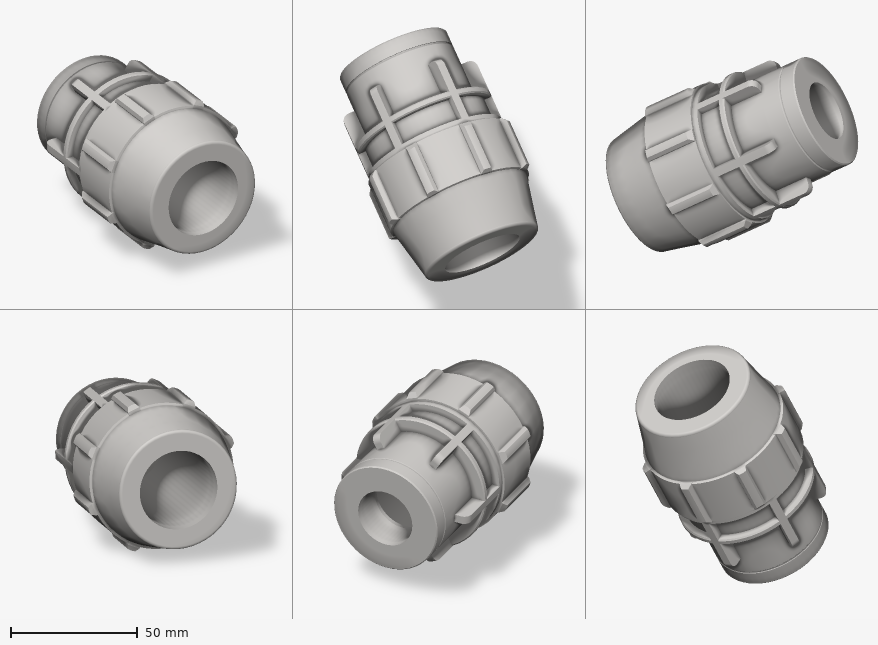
import cadquery as cq
import math

total_length = 89.0

body_radius = 46.1 / 2
body_chamfer = 0.5
body_chamfer_depth = 0.45
groove_start = 6.4
groove_floor_length = 0.5
groove_ramp_length = 0.45
groove_depth = 0.45

flange_radius = 57.6 / 2
flange_start = 29.55
flange_width = 2.7
flange_chamfer = 0.5
neck_radius = 25.6
collar_start = 42.0

body_rib_count = 6
body_rib_start = 15.2
body_rib_width = 3.4
body_rib_round = 3.1

cap_start = 44.5
cap_radius = 29.8
cap_end = 66.4
cone_start = 66.75
cone_start_radius = 28.75
cone_end_radius = 24.4
end_round = 1.25

grip_count = 8
grip_crown_radius = 32.1
grip_corner_radius = 31.95
grip_top_width = 3.3
grip_shoulder_radius = 30.3
grip_base_width = 5.2
grip_front_slope = 2.0
grip_back_slope = 1.0

inlet_radius = 24.1 / 2
middle_radius = 25.6 / 2
socket_radius = 32.0 / 2
inlet_depth = 14.2
socket_start = 16.9


def turn(profile):
    """Close an (x, radius) outline and turn it around the X axis, with the seam underneath."""
    turned = profile.close().revolve(360, (0, 0, 0), (1, 0, 0))
    return turned.rotate((0, 0, 0), (1, 0, 0), 180)


def copies_around_x(part, count, first_angle=0.0):
    """Evenly spaced copies of a part around the X axis."""
    pitch = 360 / count
    return [part.rotate((0, 0, 0), (1, 0, 0), first_angle + index * pitch) for index in range(count)]


def make_blank():
    """Body and cap, with the zone of the body ribs, flange and collar still solid all round."""
    groove_floor_end = groove_start + groove_floor_length
    groove_radius = body_radius - groove_depth
    rib_arc_offset = body_rib_round * (1 - math.sqrt(0.5))
    cone_end = total_length - end_round
    end_arc_offset = end_round * (1 - math.sqrt(0.5))
    profile = (
        cq.Workplane("XZ")
        .lineTo(0, body_radius - body_chamfer_depth)
        .lineTo(body_chamfer, body_radius)
        .lineTo(groove_start, body_radius)
        .lineTo(groove_start, groove_radius)
        .lineTo(groove_floor_end, groove_radius)
        .lineTo(groove_floor_end + groove_ramp_length, body_radius)
        .lineTo(body_rib_start, body_radius)
        .lineTo(body_rib_start, flange_radius - body_rib_round)
        .threePointArc(
            (body_rib_start + rib_arc_offset, flange_radius - rib_arc_offset),
            (body_rib_start + body_rib_round, flange_radius),
        )
        .lineTo(cap_start, flange_radius)
        .lineTo(cap_start, cap_radius)
        .lineTo(cap_end, cap_radius)
        .lineTo(cone_start, cone_start_radius)
        .lineTo(cone_end, cone_end_radius)
        .threePointArc(
            (total_length - end_arc_offset, cone_end_radius - end_arc_offset),
            (total_length, cone_end_radius - end_round),
        )
        .lineTo(total_length, 0)
    )
    return turn(profile)


def make_rib_gaps():
    """Space between the body ribs, before and behind the chamfered flange."""
    flange_end = flange_start + flange_width
    rim_radius = flange_radius - flange_chamfer
    front_gap = turn(
        cq.Workplane("XZ")
        .moveTo(body_rib_start, body_radius)
        .lineTo(flange_start, body_radius)
        .lineTo(flange_start, rim_radius)
        .lineTo(flange_start + flange_chamfer, flange_radius)
        .lineTo(flange_start + flange_chamfer, cap_radius)
        .lineTo(body_rib_start, cap_radius)
    )
    back_gap = turn(
        cq.Workplane("XZ")
        .moveTo(flange_end, neck_radius)
        .lineTo(collar_start, neck_radius)
        .lineTo(collar_start, cap_radius)
        .lineTo(flange_end - flange_chamfer, cap_radius)
        .lineTo(flange_end - flange_chamfer, flange_radius)
        .lineTo(flange_end, rim_radius)
    )
    rib_slab = cq.Workplane("XY").box(total_length, 2 * cap_radius, body_rib_width, centered=False)
    gaps = front_gap.union(back_gap)
    for slab in copies_around_x(rib_slab, body_rib_count):
        gaps = gaps.cut(slab)
    return gaps


def make_grip_rib():
    """One grip rib along +Y, with upright feet, tapered flanks, a crowned top and sloping ends."""
    half_base = grip_base_width / 2
    half_top = grip_top_width / 2
    section = (
        cq.Workplane("YZ", origin=(cap_start, 0, 0))
        .moveTo(body_radius, -half_base)
        .lineTo(grip_shoulder_radius, -half_base)
        .lineTo(grip_corner_radius, -half_top)
        .threePointArc((grip_crown_radius, 0), (grip_corner_radius, half_top))
        .lineTo(grip_shoulder_radius, half_base)
        .lineTo(body_radius, half_base)
        .close()
        .extrude(cone_start - cap_start)
    )
    side = (
        cq.Workplane("XY")
        .moveTo(cap_start, body_radius)
        .lineTo(cap_start, grip_shoulder_radius)
        .lineTo(cap_start + grip_front_slope, grip_crown_radius)
        .lineTo(cone_start - grip_back_slope, grip_crown_radius)
        .lineTo(cone_start, grip_shoulder_radius)
        .lineTo(cone_start, body_radius)
        .close()
        .extrude(half_base, both=True)
    )
    return section.intersect(side)


def make_bore():
    return turn(
        cq.Workplane("XZ")
        .lineTo(0, inlet_radius)
        .lineTo(inlet_depth, inlet_radius)
        .lineTo(inlet_depth, middle_radius)
        .lineTo(socket_start, middle_radius)
        .lineTo(socket_start, socket_radius)
        .lineTo(total_length, socket_radius)
        .lineTo(total_length, 0)
    )


result = make_blank().cut(make_rib_gaps())
for grip in copies_around_x(make_grip_rib(), grip_count, first_angle=180 / grip_count):
    result = result.union(grip)
result = result.cut(make_bore())